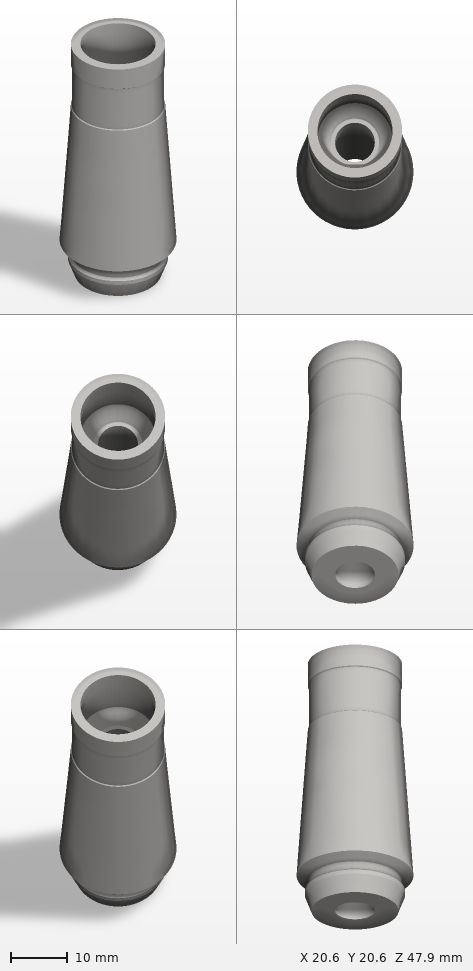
import cadquery as cq

total_height = 47.9

nose_diameter = 15.35
ring_diameter = 17.65
collar_diameter = 16.6
body_diameter = 20.6
neck_diameter = 16.25

ring_bottom = 3.05
ring_top = 3.85
groove_bottom = 4.25
groove_top = 5.7
body_bottom = 6.85
taper_top = 35.05
collar_height = 4.05
neck_bevel_height = 0.15

bore_diameter = 13.2
seat_diameter = 8.55
outlet_diameter = 7.0
seat_angle_run = (bore_diameter - seat_diameter) / 2
bore_depth = 9.1
seat_top = total_height - bore_depth
ledge_height = seat_top - seat_angle_run


def revolve_profile(stations):
    """Revolve (diameter, height) stations, closed on the axis, about Z."""
    bottom = stations[0][1]
    top = stations[-1][1]
    outline = [(0, bottom)]
    outline += [(diameter / 2, height) for diameter, height in stations]
    outline += [(0, top)]
    return cq.Workplane("XZ").polyline(outline).close().revolve(360, (0, 0), (0, 1))


collar_bottom = total_height - collar_height

body = revolve_profile([
    (nose_diameter, 0),
    (ring_diameter, ring_bottom),
    (ring_diameter, ring_top),
    (collar_diameter, groove_bottom),
    (collar_diameter, groove_top),
    (body_diameter, body_bottom),
    (collar_diameter, taper_top),
    (neck_diameter, taper_top + neck_bevel_height),
    (neck_diameter, collar_bottom - neck_bevel_height),
    (collar_diameter, collar_bottom),
    (collar_diameter, total_height),
])

bore = revolve_profile([
    (outlet_diameter, 0),
    (outlet_diameter, ledge_height),
    (seat_diameter, ledge_height),
    (bore_diameter, seat_top),
    (bore_diameter, total_height),
])

result = body.cut(bore)